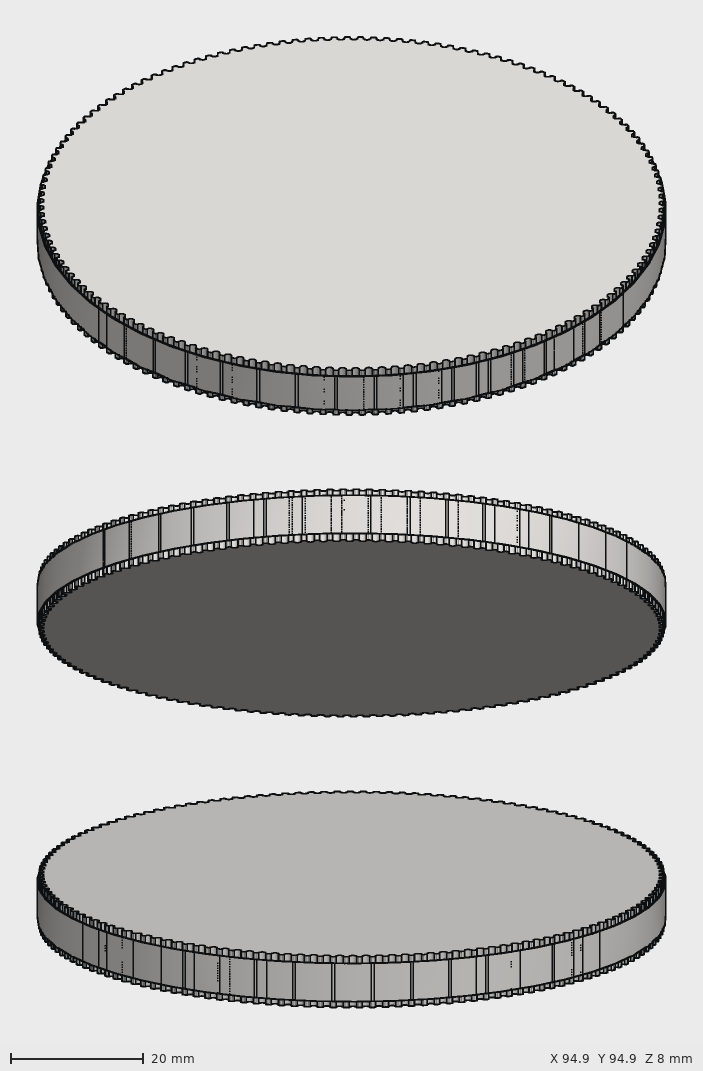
import cadquery as cq
import math

thickness = 8.0
band_diameter = 94.9
band_height = 6.0
band_wall = 0.26

tooth_count = 149
groove_depth = 0.8
groove_bottom_radius = 0.55
tip_rounding = 0.24

band_radius = band_diameter / 2
tip_radius = band_radius - band_wall
root_radius = tip_radius - groove_depth
bottom_center_radial = root_radius + groove_bottom_radius
collar_height = (thickness - band_height) / 2

pitch_angle = 2 * math.pi / tooth_count
first_groove_angle = math.pi / 2 + pitch_angle / 2

rounding_sideways = groove_bottom_radius + tip_rounding
rounding_radial = math.sqrt((tip_radius - tip_rounding) ** 2 - rounding_sideways**2)
rounding_angle = math.atan2(rounding_sideways, rounding_radial)

tip_end_radial = tip_radius * math.cos(rounding_angle)
tip_end_sideways = tip_radius * math.sin(rounding_angle)
rounding_mid_angle = (rounding_angle - math.pi / 2) / 2
rounding_mid_radial = rounding_radial + tip_rounding * math.cos(rounding_mid_angle)
rounding_mid_sideways = rounding_sideways + tip_rounding * math.sin(rounding_mid_angle)


def place(radial, sideways, angle):
    """X, Y of a point given along and across the radius that points at angle."""
    return (
        radial * math.cos(angle) - sideways * math.sin(angle),
        radial * math.sin(angle) + sideways * math.cos(angle),
    )


def add_groove_and_tooth(outline, angle):
    """Extend the outline through the groove at angle and over the next tooth tip."""
    next_angle = angle + pitch_angle
    return (
        outline
        .threePointArc(
            place(rounding_mid_radial, -rounding_mid_sideways, angle),
            place(rounding_radial, -groove_bottom_radius, angle),
        )
        .lineTo(*place(bottom_center_radial, -groove_bottom_radius, angle))
        .threePointArc(
            place(root_radius, 0, angle),
            place(bottom_center_radial, groove_bottom_radius, angle),
        )
        .lineTo(*place(rounding_radial, groove_bottom_radius, angle))
        .threePointArc(
            place(rounding_mid_radial, rounding_mid_sideways, angle),
            place(tip_end_radial, tip_end_sideways, angle),
        )
        .threePointArc(
            place(tip_radius, 0, angle + pitch_angle / 2),
            place(tip_end_radial, -tip_end_sideways, next_angle),
        )
    )


def toothed_wheel():
    """Full-height disc with rounded grooves all around."""
    start = place(tip_end_radial, -tip_end_sideways, first_groove_angle)
    outline = cq.Workplane("XY").moveTo(*start)
    for index in range(tooth_count):
        outline = add_groove_and_tooth(outline, first_groove_angle + index * pitch_angle)
    return outline.close().extrude(thickness)


def band():
    """Thin ring resting on the tooth tips, centred along the height."""
    return (
        cq.Workplane("XY")
        .workplane(offset=collar_height)
        .circle(band_radius)
        .circle(tip_radius)
        .extrude(band_height)
    )


result = toothed_wheel().union(band())